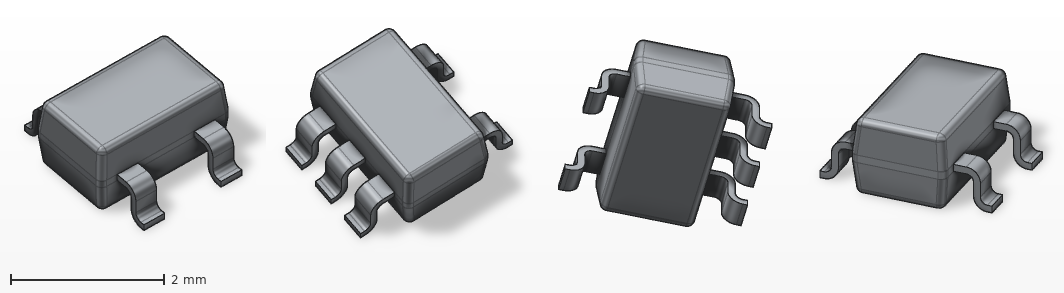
import cadquery as cq
import math

span_x = 2.45
body_length = 2.2
body_height = 1.1

body_width = 1.35
band_height = 0.11
draft_angle = 6.0
edge_radius = 0.1

lead_thickness = 0.1
lead_width = 0.35
lead_pitch = 0.65
foot_flat = 0.064
inner_bend_radius = 0.1

outer_bend_radius = inner_bend_radius + lead_thickness
mid_height = body_height / 2
half_width = body_width / 2
lead_bottom = mid_height - lead_thickness / 2
lead_top = mid_height + lead_thickness / 2
diagonal = math.sqrt(0.5)


def make_body():
    """Rounded block: a straight band at mid height, drafted inward above and below it."""
    footprint = cq.Workplane("XY").rect(body_width, body_length)
    band = footprint.extrude(band_height / 2, both=True)
    drafted_height = (body_height - band_height) / 2
    upper = (
        cq.Workplane("XY", origin=(0, 0, band_height / 2))
        .rect(body_width, body_length)
        .extrude(drafted_height, taper=draft_angle)
    )
    lower = upper.mirror("XY")
    block = band.union(upper).union(lower)
    block = block.edges("(not (|X or |Y)) or <Z or >Z").fillet(edge_radius)
    return block.translate((0, 0, mid_height))


def make_lead(side, y):
    """Gull-wing lead ending flush on the body flank; side is -1 for -X, +1 for +X."""
    tip = span_x / 2
    shank_outer = tip - foot_flat - inner_bend_radius
    shank_inner = shank_outer - lead_thickness
    shoulder = shank_outer - outer_bend_radius
    toe = tip - foot_flat
    upper_z = lead_top - outer_bend_radius
    lower_z = outer_bend_radius
    inner_arc = inner_bend_radius * diagonal
    outer_arc = outer_bend_radius * diagonal
    profile = (
        cq.Workplane("XZ")
        .moveTo(half_width, lead_top)
        .lineTo(shoulder, lead_top)
        .threePointArc((shoulder + outer_arc, upper_z + outer_arc), (shank_outer, upper_z))
        .lineTo(shank_outer, lower_z)
        .threePointArc((toe - inner_arc, lower_z - inner_arc), (toe, lead_thickness))
        .lineTo(tip, lead_thickness)
        .lineTo(tip, 0)
        .lineTo(toe, 0)
        .threePointArc((toe - outer_arc, lower_z - outer_arc), (shank_inner, lower_z))
        .lineTo(shank_inner, upper_z)
        .threePointArc((shoulder + inner_arc, upper_z + inner_arc), (shoulder, lead_bottom))
        .lineTo(half_width, lead_bottom)
        .close()
    )
    lead = profile.extrude(lead_width / 2, both=True)
    if side < 0:
        lead = lead.mirror("YZ")
    return lead.translate((0, y, 0))


lead_positions = [(-1, -1), (-1, 0), (-1, 1), (1, -1), (1, 1)]

body = make_body()
leads = [make_lead(side, step * lead_pitch) for side, step in lead_positions]

result = cq.Compound.makeCompound([body.val(), *[lead.val() for lead in leads]])